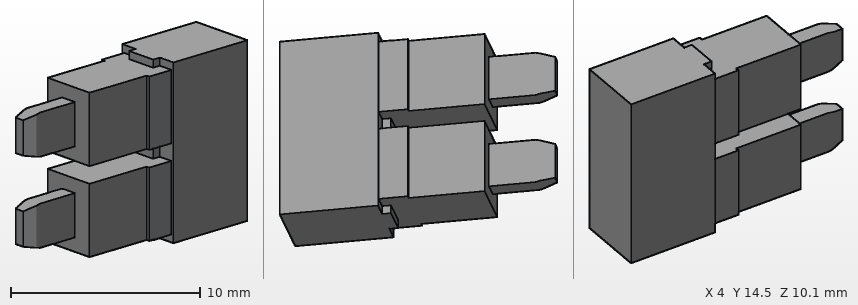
import cadquery as cq

LENGTH = 14.5
WIDTH = 4.0
HEIGHT = 10.1
BACK_Y = LENGTH / 2

HOUSING_END = 5.3
RIB_END = 5.79
COLLAR_END = 6.89
PLUG_END = 10.98

RIB_WIDTH = 1.88

PITCH = 5.09
PLUG_HEIGHT = 4.1
COLLAR_WIDTH = 3.71
PLUG_WIDTH = 3.28

PIN_WIDTH = 1.0
PIN_HEIGHT = 2.48
TIP_WIDTH = 0.6
TIP_HEIGHT = 1.99
SIDE_TAPER_LENGTH = 0.77
TOP_TAPER_LENGTH = 1.02


def block(width, height, start, end, center_z=0):
    """Box between two distances from the back face, centred on X."""
    center_y = BACK_Y - (start + end) / 2
    return cq.Workplane("XY").box(width, end - start, height).translate((0, center_y, center_z))


def pin_profile(plane, size, tip_size, taper_length):
    """Symmetric tapered pin outline; the second sketch axis runs along Y."""
    root_y = BACK_Y - PLUG_END
    tip_y = BACK_Y - LENGTH
    shoulder_y = tip_y + taper_length
    return cq.Workplane(plane).polyline([
        (-size / 2, root_y),
        (-size / 2, shoulder_y),
        (-tip_size / 2, tip_y),
        (tip_size / 2, tip_y),
        (size / 2, shoulder_y),
        (size / 2, root_y),
    ]).close()


def make_pin(center_z):
    """Pin whose side and top tapers start at different distances from the tip."""
    side_tapered = pin_profile("XY", PIN_WIDTH, TIP_WIDTH, SIDE_TAPER_LENGTH).extrude(PIN_HEIGHT / 2, both=True)
    yz_plane = cq.Plane(origin=(0, 0, 0), xDir=(0, 0, 1), normal=(-1, 0, 0))
    top_tapered = pin_profile(yz_plane, PIN_HEIGHT, TIP_HEIGHT, TOP_TAPER_LENGTH).extrude(PIN_WIDTH / 2, both=True)
    return side_tapered.intersect(top_tapered).translate((0, 0, center_z))


def make_plug(center_z):
    """Wide collar, narrower plug body and contact pin."""
    collar = block(COLLAR_WIDTH, PLUG_HEIGHT, HOUSING_END, COLLAR_END, center_z)
    body = block(PLUG_WIDTH, PLUG_HEIGHT, COLLAR_END, PLUG_END, center_z)
    return collar.union(body).union(make_pin(center_z))


housing = block(WIDTH, HEIGHT, 0, HOUSING_END)
rib = block(RIB_WIDTH, HEIGHT, HOUSING_END, RIB_END)

result = housing.union(rib)
for plug_z in (-PITCH / 2, PITCH / 2):
    result = result.union(make_plug(plug_z))